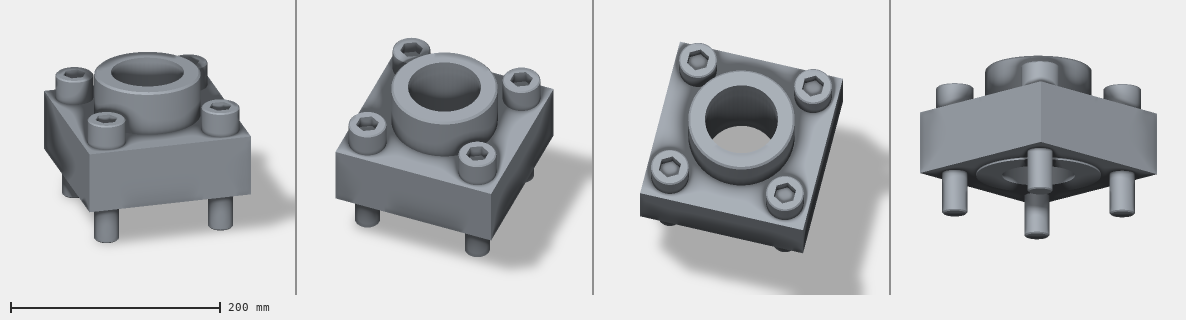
import cadquery as cq
import math

block_side = 160.0
block_height = 60.0

hub_diameter = 101.6
hub_height = 43.2
hub_chamfer = 2.0
bore_diameter = 69.6

spigot_diameter = 119.0
spigot_height = 2.0

screw_spacing = 113.0
shank_diameter = 24.0
shank_projection = 39.8
shank_chamfer = 1.3
head_diameter = 36.0
head_height = 24.5
head_chamfer = 1.3
socket_across_flats = 19.0
socket_depth = 12.0

hub_top = block_height + hub_height
head_top = block_height + head_height


def cylinder(diameter, bottom, top):
    """Upright cylinder on the Z axis."""
    return cq.Workplane("XY").workplane(offset=bottom).circle(diameter / 2).extrude(top - bottom)


def make_screw():
    """Socket head screw on the Z axis, its head resting on the block."""
    shank = cylinder(shank_diameter, -shank_projection, block_height)
    shank = shank.faces("<Z").chamfer(shank_chamfer)
    head = cylinder(head_diameter, block_height, head_top).faces(">Z").chamfer(head_chamfer)
    across_corners = socket_across_flats / math.cos(math.pi / 6)
    socket = (
        cq.Workplane("XY")
        .workplane(offset=head_top - socket_depth)
        .polygon(6, across_corners)
        .extrude(socket_depth)
        .rotate((0, 0, 0), (0, 0, 1), 30)
    )
    return shank.union(head).cut(socket)


def make_flange():
    """Block with the hub above, the spigot below and the bore through all."""
    block = cq.Workplane("XY").box(block_side, block_side, block_height, centered=(True, True, False))
    hub = cylinder(hub_diameter, block_height, hub_top).faces(">Z").chamfer(hub_chamfer)
    spigot = cylinder(spigot_diameter, -spigot_height, 0)
    bore = cylinder(bore_diameter, -spigot_height, hub_top)
    return block.union(hub).union(spigot).cut(bore)


result = make_flange()
screw = make_screw()
for x_side in (-1, 1):
    for y_side in (-1, 1):
        position = (x_side * screw_spacing / 2, y_side * screw_spacing / 2, 0)
        result = result.union(screw.translate(position))